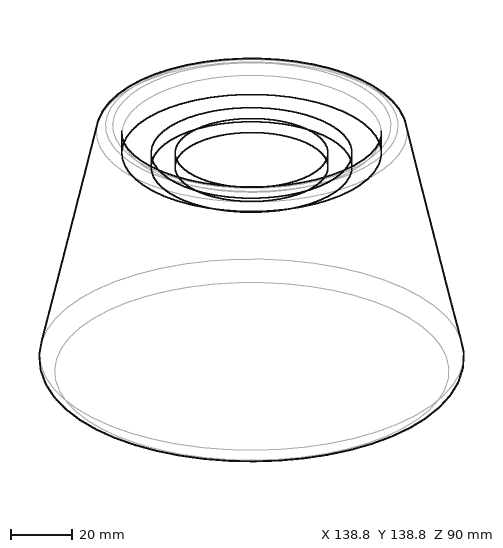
import cadquery as cq
import math

max_diameter = 138.8
height = 90.0
wall_angle = math.radians(12.8)
base_round = 5.0
rim_round = 3.0

recess_diameter = 84.8
recess_depth = 10.1
groove_outer_diameter = 65.7
groove_inner_diameter = 50.0
groove_depth = 5.1

base_tangent_length = base_round / math.tan((math.pi / 2 - wall_angle) / 2)
base_radius = max_diameter / 2 - base_round + base_tangent_length
top_radius = base_radius - height * math.tan(wall_angle)


def make_body():
    """Solid truncated cone with its base edge rounded."""
    profile = (
        cq.Workplane("XZ")
        .polyline([(0, 0), (base_radius, 0), (top_radius, height), (0, height)])
        .close()
    )
    cone = profile.revolve(360, (0, 0), (0, 1))
    return cone.faces("<Z").edges().fillet(base_round)


def make_recess():
    """Round recess cut down from the top face."""
    floor = cq.Workplane("XY").workplane(offset=height - recess_depth)
    return floor.circle(recess_diameter / 2).extrude(recess_depth)


def make_groove():
    """Ring groove in the recess floor, leaving a flush central disc."""
    floor = cq.Workplane("XY").workplane(offset=height - recess_depth - groove_depth)
    ring = floor.circle(groove_outer_diameter / 2).circle(groove_inner_diameter / 2)
    return ring.extrude(groove_depth)


body = make_body().cut(make_recess())
body = body.faces(">Z").edges().fillet(rim_round)
result = body.cut(make_groove())